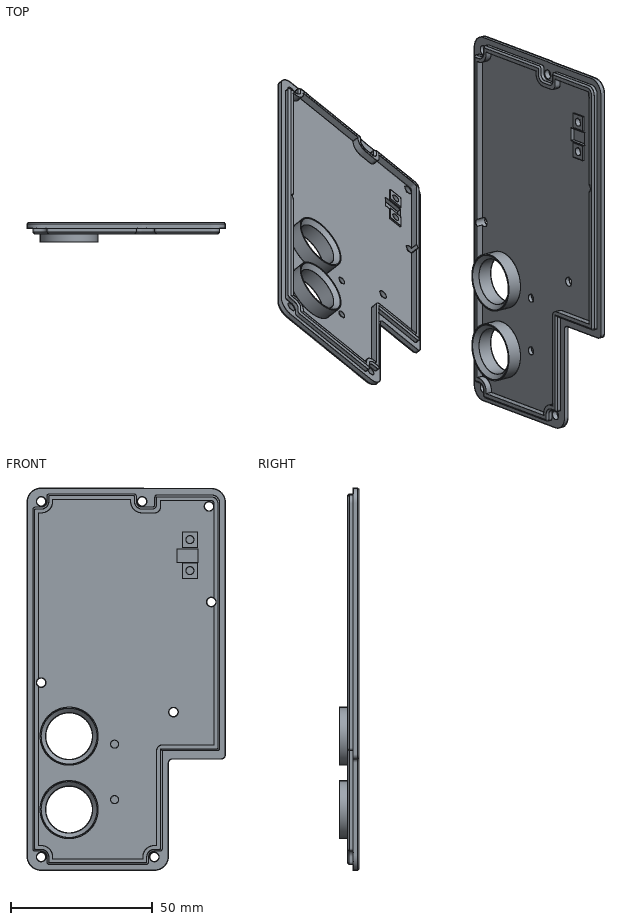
import cadquery as cq
import math


width = 70.0
height = 135.0
plate_thickness = 2.2
leg_width = 50.0
shelf_height = 39.3
top_step = 0.1
top_step_start = 40.6
top_step_end = 41.8
corner_radius = 5.0
shelf_outer_radius = 1.6
shelf_inner_radius = 1.4
back_chamfer = 0.5

lip_level = 4.2
lip_inset = 2.0
lip_shelf_inset = 3.0
lip_leg_inset = 2.2
lip_top_step = 0.4
lip_wall = 2.0
lip_chamfer = 0.7
lip_corner_radius = corner_radius - lip_inset
lip_small_radius = 1.0
lip_clearance = 2.0
top_notch_right = 45.1
floor_level = 1.8

screw_diameter = 3.2
screw_inset_x = 5.0
screw_inset_z = 4.7
top_left_screw = (screw_inset_x, height - screw_inset_z)
top_edge_screw = (top_step_start, height - screw_inset_z)
bottom_left_screw = (screw_inset_x, screw_inset_z)
bottom_right_screw = (leg_width - screw_inset_x, screw_inset_z)
edge_screws = [top_left_screw, top_edge_screw, bottom_left_screw, bottom_right_screw]
floor_screws = [(64.3, 128.5), (65.1, 94.8), (screw_inset_x, 66.3), (51.7, 55.9)]

ring_outer_diameter = 20.5
ring_bore_diameter = 16.5
ring_level = 7.0
ring_countersink = 1.6
ring_centers = [(14.8, 47.4), (14.8, 21.5)]

pad_size = 5.4
pad_level = 2.3
pad_centers = [(57.5, 116.8), (57.5, 105.8)]
latch_pocket_width = 7.4
latch_pocket_height = 4.7
latch_pocket_center = (56.7, 111.1)
latch_pocket_level = 0.4

pilot_diameter = 2.8
pilot_level = 0.3
pilot_centers = [(30.9, 44.5), (30.9, 25.0)] + pad_centers


def at_level(level):
    """Sketch plane parallel to the plate; extrusions from it rise toward -Y."""
    return cq.Workplane("XZ", origin=(0, -level, 0))


def cylinders(centers, diameter, bottom, top):
    return at_level(bottom).pushPoints(centers).circle(diameter / 2).extrude(top - bottom)


def blocks(centers, size_x, size_z, bottom, top):
    return at_level(bottom).pushPoints(centers).rect(size_x, size_z).extrude(top - bottom)


def round_corner(body, x, z, radius):
    """Fillet the edge that runs along Y through (x, z)."""
    reach = 0.1
    nearby = cq.selectors.BoxSelector(
        (x - reach, -ring_level, z - reach), (x + reach, ring_level, z + reach)
    )
    return body.edges("|Y").edges(nearby).fillet(radius)


def make_plate():
    right_top = height - top_step
    outline = [
        (0, 0),
        (leg_width, 0),
        (leg_width, shelf_height),
        (width, shelf_height),
        (width, right_top),
        (top_step_end, right_top),
        (top_step_start, height),
        (0, height),
    ]
    plate = at_level(0).polyline(outline).close().extrude(plate_thickness)
    for x, z in [(0, 0), (leg_width, 0), (width, right_top), (0, height)]:
        plate = round_corner(plate, x, z, corner_radius)
    plate = round_corner(plate, width, shelf_height, shelf_outer_radius)
    plate = round_corner(plate, leg_width, shelf_height, shelf_inner_radius)
    return plate.faces(">Y").chamfer(back_chamfer)


lip_left = lip_inset
lip_right = width - lip_inset
lip_bottom = lip_inset
lip_top = height - lip_inset
lip_right_top = lip_top - lip_top_step
lip_leg = leg_width - lip_leg_inset
lip_shelf = shelf_height + lip_shelf_inset


def lip_outline():
    """Outer contour of the lip, stepping inward around each edge screw."""
    gap = lip_clearance
    diagonal = gap * math.sqrt(0.5)
    top_left_x, top_left_z = top_left_screw
    top_edge_x, top_edge_z = top_edge_screw
    low_left_x, low_left_z = bottom_left_screw
    low_right_x, low_right_z = bottom_right_screw
    return (
        at_level(floor_level)
        .moveTo(lip_left, low_left_z + gap)
        .lineTo(low_left_x, low_left_z + gap)
        .threePointArc((low_left_x + diagonal, low_left_z + diagonal), (low_left_x + gap, low_left_z))
        .lineTo(low_left_x + gap, lip_bottom)
        .lineTo(low_right_x - gap, lip_bottom)
        .lineTo(low_right_x - gap, low_right_z)
        .threePointArc((low_right_x - diagonal, low_right_z + diagonal), (low_right_x, low_right_z + gap))
        .lineTo(lip_leg, low_right_z + gap)
        .lineTo(lip_leg, lip_shelf)
        .lineTo(lip_right, lip_shelf)
        .lineTo(lip_right, lip_right_top - lip_corner_radius)
        .radiusArc((lip_right - lip_corner_radius, lip_right_top), -lip_corner_radius)
        .lineTo(top_notch_right, lip_right_top)
        .lineTo(top_notch_right, top_edge_z - gap)
        .lineTo(top_edge_x, top_edge_z - gap)
        .threePointArc((top_edge_x - diagonal, top_edge_z - diagonal), (top_edge_x - gap, top_edge_z))
        .lineTo(top_edge_x - gap, lip_top)
        .lineTo(top_left_x + gap, lip_top)
        .lineTo(top_left_x + gap, top_left_z)
        .threePointArc((top_left_x + diagonal, top_left_z - diagonal), (top_left_x, top_left_z - gap))
        .lineTo(lip_left, top_left_z - gap)
        .close()
    )


def make_lip_block():
    """Solid block bounded by the lip, with rounded corners and a chamfered rim."""
    corners = [
        (lip_left, bottom_left_screw[1] + lip_clearance),
        (bottom_left_screw[0] + lip_clearance, lip_bottom),
        (bottom_right_screw[0] - lip_clearance, lip_bottom),
        (lip_leg, bottom_right_screw[1] + lip_clearance),
        (lip_right, lip_shelf),
        (top_notch_right, lip_right_top),
        (top_notch_right, top_edge_screw[1] - lip_clearance),
        (top_edge_screw[0] - lip_clearance, lip_top),
        (top_left_screw[0] + lip_clearance, lip_top),
        (lip_left, top_left_screw[1] - lip_clearance),
    ]
    block = lip_outline().extrude(lip_level - floor_level)
    for x, z in corners:
        block = round_corner(block, x, z, lip_small_radius)
    return block.faces("<Y").chamfer(lip_chamfer)


def make_lip_inside():
    """Space inside the lip wall, from the floor up."""
    return lip_outline().offset2D(-lip_wall).extrude(lip_level - floor_level)


def make_ring_opening(center):
    """Bore through a ring, opened by a countersink at its rim."""
    x, z = center
    bore_radius = ring_bore_diameter / 2
    countersink = cq.Solid.makeCone(
        bore_radius,
        bore_radius + ring_countersink,
        ring_countersink,
        cq.Vector(x, ring_countersink - ring_level, z),
        cq.Vector(0, -1, 0),
    )
    return cylinders([center], ring_bore_diameter, 0, ring_level).union(cq.Workplane(countersink))


result = make_plate().union(make_lip_block()).cut(make_lip_inside())

result = result.union(blocks(pad_centers, pad_size, pad_size, latch_pocket_level, pad_level))
result = result.union(cylinders(ring_centers, ring_outer_diameter, 0, ring_level))

for ring_center in ring_centers:
    result = result.cut(make_ring_opening(ring_center))
result = result.cut(
    blocks([latch_pocket_center], latch_pocket_width, latch_pocket_height, latch_pocket_level, lip_level)
)
result = result.cut(cylinders(edge_screws + floor_screws, screw_diameter, 0, lip_level))
result = result.cut(cylinders(pilot_centers, pilot_diameter, pilot_level, lip_level))